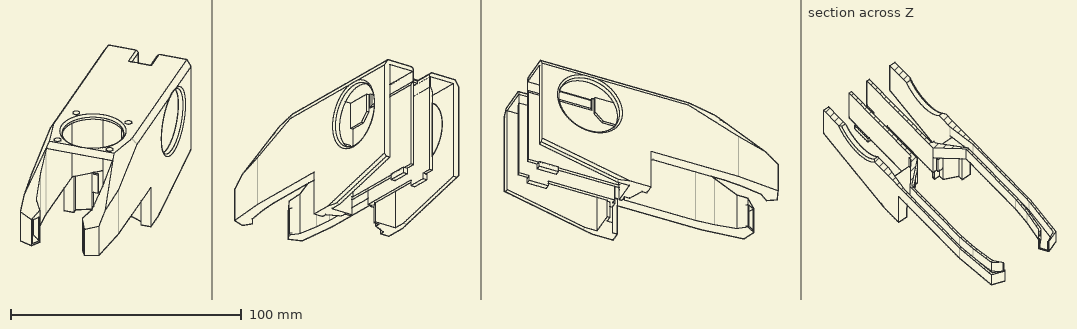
import cadquery as cq

LENGTH = 115.2
WIDTH = 40.0
HALF_WIDTH = WIDTH / 2
HEIGHT = 55.0

PLATE_THICKNESS = 2.1
GAP_HALF_WIDTH = 4.3
PLATE_FRONT_Y = -88.7
FRONT_HALF_WIDTH = 15.1

ARM_DEPTH = 35.0
ARM_TAPER_Y = -93.3
SLANT_REAR_Y = -45.4
SLANT_FRONT_Y = -54.8
ARM_OUTLINE = [
    (GAP_HALF_WIDTH, 0),
    (GAP_HALF_WIDTH, SLANT_REAR_Y),
    (FRONT_HALF_WIDTH, SLANT_FRONT_Y),
    (FRONT_HALF_WIDTH, PLATE_FRONT_Y),
    (14.4, -97.4),
    (12.8, -107.3),
    (9.8, -111.2),
    (12.2, -LENGTH),
    (18.1, -113.0),
    (HALF_WIDTH, ARM_TAPER_Y),
    (HALF_WIDTH, 0),
]

FRONT_SLOPE_Y = -84.7
TIP_DROP = 21.8
EDGE_BEVEL_WIDTH = 2.0
EDGE_BEVEL_DROP = 3.1
CHEEK_START_Y = -70.5
CHEEK_INSET = 4.7
CHEEK_INSET_Y = -83.0
CHEEK_DROP = 12.7

LEG_FRONT_Y = -51.7
LEG_INNER_X = 6.3
LEG_WEB_X = 9.1
LEG_WEB_Y = -46.4
LEG_SLANT_X = 15.4
LEG_SLANT_Y = -49.4
LEG_NOTCH_X = 8.3
LEG_NOTCH_DROP = 2.1
LEG_SETBACK = 2.4
INNER_WALL_DEPTH = 46.3
HEEL_DEPTH = 46.2
HEEL_FRONT_Y = -36.9
HEEL_BEVEL = 1.2
TAB_REAR_Y = -4.7
TAB_FRONT_Y = -13.8
TAB_DEPTH = 49.0

FAN_Y = -70.3
FAN_RADIUS = 13.4
FAN_RIM_RADIUS = 14.4
FAN_RIM_DROP = 1.0
SCREW_OFFSET = 12.0
SCREW_RADIUS = 1.5

SIDE_WALL = 3.0
INLET_RIM_DROP = 0.8
INLET_Y = -22.7
INLET_DEPTH = 18.2
INLET_RADIUS = 14.4
INLET_RIM_RADIUS = 15.4
POCKET_INNER_X = 5.8
POCKET_OUTER_X = HALF_WIDTH - SIDE_WALL
POCKET_FRONT_Y = -42.7
LEDGE_FRONT_Y = -30.0
LEDGE_TOP_DEPTH = 6.9
LEDGE_BOTTOM_DEPTH = 8.8
LEDGE_RECESS = 1.0
PAD_REAR_Y = -31.0
PAD_CORNER_DEPTH = 10.3
PAD_FRONT_Y = -34.9
PAD_DEPTH = 14.0
PAD_THICKNESS = 1.2

CHANNEL_TOP_DEPTH = 22.2
CHANNEL_BOTTOM_DEPTH = 34.1
CHANNEL_LIP = 1.2
CHANNEL_MOUTH_Y = POCKET_FRONT_Y + CHANNEL_LIP
CHANNEL_OUTLINE = [
    (POCKET_INNER_X + CHANNEL_LIP, CHANNEL_MOUTH_Y),
    (POCKET_INNER_X + CHANNEL_LIP, POCKET_FRONT_Y - CHANNEL_LIP),
    (16.2, SLANT_FRONT_Y),
    (16.2, PLATE_FRONT_Y),
    (15.5, -97.4),
    (13.9, -107.8),
    (10.1, -111.3),
    (10.1, -112.9),
    (12.0, -114.7),
    (16.9, -112.2),
    (18.9, ARM_TAPER_Y),
    (18.9, SLANT_FRONT_Y),
    (POCKET_OUTER_X, CHANNEL_MOUTH_Y),
]

NOTCH_LENGTH = 8.9
NOTCH_BEVEL = 1.0

MARGIN = 23.0


def box(x_range, y_range, depth_range):
    """Block between two X values, two Y values and two depths below the top."""
    x0, x1 = x_range
    y0, y1 = y_range
    top, bottom = depth_range
    block = cq.Workplane("XY").box(x1 - x0, y1 - y0, bottom - top, centered=False)
    return block.translate((x0, y0, -bottom))


def plan_prism(outline, top, bottom):
    """Extrude an XY outline between two depths below the top face."""
    return cq.Workplane("XY").workplane(offset=-bottom).polyline(outline).close().extrude(bottom - top)


def side_prism(outline, x0, x1):
    """Extrude a YZ outline between two X values."""
    return cq.Workplane("YZ").workplane(offset=x0).polyline(outline).close().extrude(x1 - x0)


def length_prism(outline, y_front, y_rear):
    """Extrude an XZ outline between two Y values."""
    plane = cq.Workplane("XZ").workplane(offset=-y_rear)
    return plane.polyline(outline).close().extrude(y_rear - y_front)


def flared_hole(plane, depth, radius, rim_radius, rim_drop):
    """Round cutter with a conical rim, starting on the outer face of a wall."""
    hole = cq.Workplane(plane).circle(radius).extrude(-depth)
    rim = cq.Workplane(plane).circle(rim_radius).workplane(offset=-rim_drop).circle(radius).loft()
    return hole.union(rim)


def leg():
    outline = [
        (LEG_INNER_X, 0),
        (LEG_INNER_X, LEG_WEB_Y),
        (LEG_WEB_X, LEG_WEB_Y),
        (LEG_SLANT_X, LEG_SLANT_Y),
        (LEG_SLANT_X, LEG_FRONT_Y),
        (HALF_WIDTH, LEG_FRONT_Y),
        (HALF_WIDTH, 0),
    ]
    body = plan_prism(outline, ARM_DEPTH, HEIGHT)
    notch = box(
        (LEG_INNER_X, LEG_NOTCH_X),
        (LEG_WEB_Y, SLANT_REAR_Y),
        (ARM_DEPTH, ARM_DEPTH + LEG_NOTCH_DROP),
    )
    setback = box(
        (LEG_INNER_X, LEG_WEB_X),
        (LEG_WEB_Y, LEG_WEB_Y + LEG_SETBACK),
        (INNER_WALL_DEPTH, HEIGHT),
    )
    return body.cut(notch).cut(setback).cut(heel_slope())


def heel_slope():
    """Sloping rear underside of a leg, with its outer edge bevelled."""
    below = side_prism([(0, -HEEL_DEPTH), (0, -HEIGHT), (HEEL_FRONT_Y, -HEIGHT)], 0, HALF_WIDTH)
    bevel_section = cq.Workplane("XZ").polyline(
        [
            (HALF_WIDTH, -HEEL_DEPTH + HEEL_BEVEL),
            (HALF_WIDTH, -HEEL_DEPTH),
            (HALF_WIDTH - HEEL_BEVEL, -HEEL_DEPTH),
        ]
    ).close()
    stretch = 1 + HEEL_BEVEL / (HEIGHT - HEEL_DEPTH)
    direction = cq.Vector(0, HEEL_FRONT_Y, HEEL_DEPTH - HEIGHT) * stretch
    bevel = cq.Solid.extrudeLinear(bevel_section.wires().val(), [], direction)
    return below.union(cq.Workplane(obj=bevel))


def inner_wall():
    return box((GAP_HALF_WIDTH, LEG_INNER_X), (SLANT_REAR_Y, 0), (ARM_DEPTH, INNER_WALL_DEPTH))


def wall_tab():
    """Short tab hanging below the rear of the inner wall."""
    return box(
        (GAP_HALF_WIDTH, LEG_INNER_X),
        (TAB_FRONT_Y, TAB_REAR_Y),
        (INNER_WALL_DEPTH, TAB_DEPTH),
    )


def pocket():
    """Blower pocket, open to the rear and below, stepped around a ledge and a corner pad."""
    body = box(
        (POCKET_INNER_X, POCKET_OUTER_X),
        (POCKET_FRONT_Y, 0),
        (PLATE_THICKNESS, HEIGHT),
    )
    recess_x = POCKET_INNER_X - LEDGE_RECESS
    ledge = length_prism(
        [
            (POCKET_INNER_X, -LEDGE_BOTTOM_DEPTH),
            (recess_x, -LEDGE_TOP_DEPTH),
            (recess_x, -PLATE_THICKNESS),
            (POCKET_INNER_X, -PLATE_THICKNESS),
        ],
        LEDGE_FRONT_Y,
        0,
    )
    pad = side_prism(
        [
            (PAD_REAR_Y, -PLATE_THICKNESS),
            (PAD_REAR_Y, -PAD_CORNER_DEPTH),
            (PAD_FRONT_Y, -PAD_DEPTH),
            (POCKET_FRONT_Y, -PAD_DEPTH),
            (POCKET_FRONT_Y, -PLATE_THICKNESS),
        ],
        POCKET_INNER_X,
        POCKET_INNER_X + PAD_THICKNESS,
    )
    return body.cut(pad).union(ledge)


def inlet():
    plane = cq.Plane(origin=(HALF_WIDTH, INLET_Y, -INLET_DEPTH), xDir=(0, 1, 0), normal=(1, 0, 0))
    return flared_hole(plane, SIDE_WALL, INLET_RADIUS, INLET_RIM_RADIUS, INLET_RIM_DROP)


def edge_bevel():
    outline = [(HALF_WIDTH - EDGE_BEVEL_WIDTH, 0), (HALF_WIDTH, 0), (HALF_WIDTH, -EDGE_BEVEL_DROP)]
    return length_prism(outline, -LENGTH, 0)


def cheek_facet():
    """Everything beyond the plane that slants across the upper outer edge of an arm."""
    run_per_inset = (CHEEK_START_Y - CHEEK_INSET_Y) / (CHEEK_INSET - EDGE_BEVEL_WIDTH)
    corner_y = CHEEK_START_Y + run_per_inset * EDGE_BEVEL_WIDTH
    run_per_drop = (corner_y - ARM_TAPER_Y) / CHEEK_DROP
    plane = cq.Plane(
        origin=(HALF_WIDTH, ARM_TAPER_Y, -CHEEK_DROP),
        normal=(run_per_inset, -1, run_per_drop),
    )
    return cq.Workplane(plane).rect(2 * LENGTH, 2 * LENGTH).extrude(MARGIN)


def front_slope():
    outline = [(FRONT_SLOPE_Y, 0), (-LENGTH, 0), (-LENGTH, -TIP_DROP)]
    return side_prism(outline, -HALF_WIDTH, HALF_WIDTH)


def fan_opening():
    plane = cq.Plane(origin=(0, FAN_Y, 0))
    screws = (
        cq.Workplane(plane)
        .rect(2 * SCREW_OFFSET, 2 * SCREW_OFFSET, forConstruction=True)
        .vertices()
        .circle(SCREW_RADIUS)
        .extrude(-PLATE_THICKNESS)
    )
    bore = flared_hole(plane, PLATE_THICKNESS, FAN_RADIUS, FAN_RIM_RADIUS, FAN_RIM_DROP)
    return bore.union(screws)


def rear_notch():
    opening = box((-GAP_HALF_WIDTH, GAP_HALF_WIDTH), (-NOTCH_LENGTH, MARGIN), (0, PLATE_THICKNESS))
    cut_length = NOTCH_LENGTH + MARGIN
    bevel = (
        cq.Workplane("XY")
        .center(0, MARGIN - cut_length / 2)
        .rect(2 * GAP_HALF_WIDTH + 2 * NOTCH_BEVEL, cut_length + 2 * NOTCH_BEVEL)
        .workplane(offset=-NOTCH_BEVEL)
        .rect(2 * GAP_HALF_WIDTH, cut_length)
        .loft()
    )
    return opening.union(bevel)


def right_half():
    half = plan_prism(ARM_OUTLINE, 0, ARM_DEPTH).union(leg()).union(inner_wall())
    half = half.union(box((0, HALF_WIDTH), (PLATE_FRONT_Y, 0), (0, PLATE_THICKNESS)))
    for cutter in (
        pocket(),
        plan_prism(CHANNEL_OUTLINE, CHANNEL_TOP_DEPTH, CHANNEL_BOTTOM_DEPTH),
        inlet(),
        edge_bevel(),
        cheek_facet(),
        front_slope(),
    ):
        half = half.cut(cutter)
    return half.union(wall_tab())


half = right_half()
result = half.union(half.mirror("YZ")).cut(fan_opening()).cut(rear_notch())